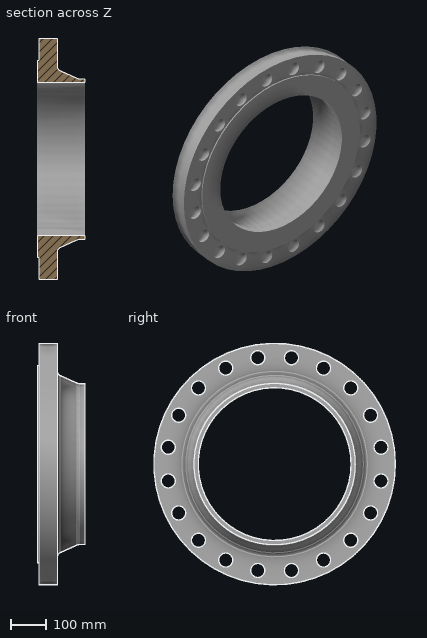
import cadquery as cq

total_length = 135.0
flange_diameter = 685.0
flange_back_x = 57.0

raised_face_diameter = 560.0
raised_face_height = 4.0

bore_diameter = 432.0
pipe_end_diameter = 457.0
pipe_end_length = 20.0
cone_end_x = total_length - pipe_end_length
neck_base_diameter = 509.5
neck_fillet_radius = 12.0
pipe_fillet_radius = 14.0

bolt_hole_diameter = 39.0
bolt_circle_diameter = 610.0
bolt_hole_count = 20
bolt_spacing = 360 / bolt_hole_count

selection_margin = 1.0


def disc(diameter, start_x, end_x):
    """Solid cylinder along X between two stations."""
    length = end_x - start_x
    return cq.Workplane("YZ").workplane(offset=start_x).circle(diameter / 2).extrude(length)


def smallest_circle(solid, station_x):
    """Innermost circular edge of a solid lying at the given X station."""
    near_station = cq.selectors.BoxSelector(
        (station_x - selection_margin, -selection_margin, -selection_margin),
        (station_x + selection_margin, selection_margin, selection_margin),
    )
    return solid.edges("%CIRCLE").edges(near_station).edges(cq.selectors.RadiusNthSelector(0))


def neck():
    """Solid cone narrowing to the straight pipe end."""
    profile = [
        (raised_face_height, 0),
        (raised_face_height, neck_base_diameter / 2),
        (flange_back_x, neck_base_diameter / 2),
        (cone_end_x, pipe_end_diameter / 2),
        (total_length, pipe_end_diameter / 2),
        (total_length, 0),
    ]
    return cq.Workplane("XY").polyline(profile).close().revolve(360, (0, 0, 0), (1, 0, 0))


def bolt_holes():
    """Through holes on the bolt circle, straddling the Y and Z axes."""
    return (
        cq.Workplane("YZ")
        .polarArray(bolt_circle_diameter / 2, bolt_spacing / 2, 360, bolt_hole_count)
        .circle(bolt_hole_diameter / 2)
        .extrude(flange_back_x)
    )


raised_face = disc(raised_face_diameter, 0, raised_face_height)
plate = disc(flange_diameter, raised_face_height, flange_back_x)
bore = disc(bore_diameter, 0, total_length)

blank = plate.union(raised_face).union(neck())
blank = smallest_circle(blank, cone_end_x).fillet(pipe_fillet_radius)
blank = smallest_circle(blank, flange_back_x).fillet(neck_fillet_radius)

result = blank.cut(bore).cut(bolt_holes())